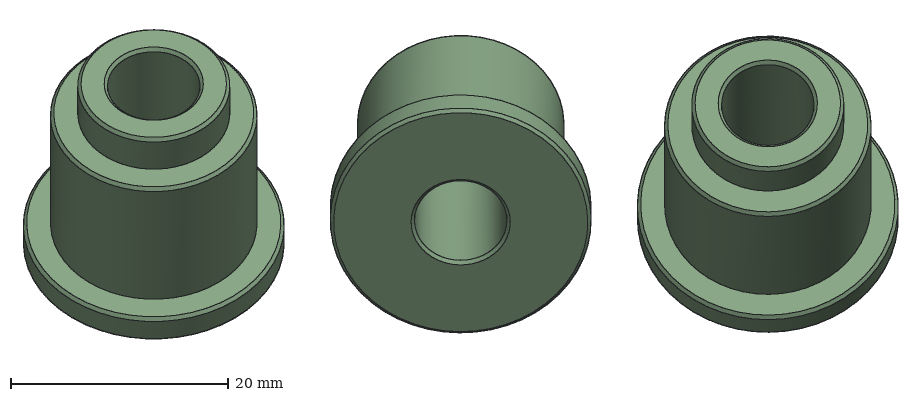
import cadquery as cq

flange_diameter = 24.0
body_diameter = 19.0
nose_diameter = 14.0
bore_diameter = 8.5

flange_height = 3.0
body_height = 15.0
nose_height = 4.0
total_height = flange_height + body_height + nose_height

edge_chamfer = 0.3


def chamfered_disc(diameter, height, base_z, chamfered_edges):
    """Solid disc on the Z axis with the selected rims chamfered."""
    disc = cq.Workplane("XY").workplane(offset=base_z).circle(diameter / 2).extrude(height)
    return disc.faces(chamfered_edges).edges().chamfer(edge_chamfer)


flange = chamfered_disc(flange_diameter, flange_height, 0, "<Z or >Z")
body = chamfered_disc(body_diameter, body_height, flange_height, ">Z")
nose = chamfered_disc(nose_diameter, nose_height, flange_height + body_height, ">Z")

mouth_radius = bore_diameter / 2 + edge_chamfer
bore = cq.Workplane("XY").circle(bore_diameter / 2).extrude(total_height)
bottom_mouth = cq.Workplane("XY").add(
    cq.Solid.makeCone(mouth_radius, bore_diameter / 2, edge_chamfer)
)
top_mouth = bottom_mouth.mirror("XY").translate((0, 0, total_height))

result = flange.union(body).union(nose).cut(bore).cut(bottom_mouth).cut(top_mouth)